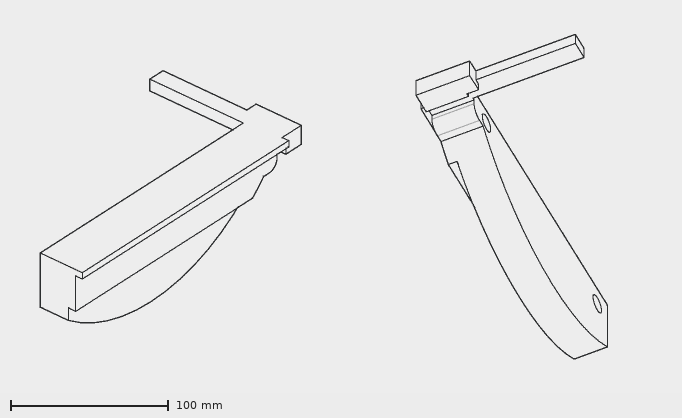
import cadquery as cq

total_length = 220.0
core_width = 29.7
lower_width = 23.5
lower_step_depth = 31.7
body_back = 196.5
body_height = 67.0

belly_radius = 137.5
belly_center_y = 80.3

nose_depth = 20.7
nose_radius = 8.0

lip_reach = 5.5
lip_thickness = 4.8
lip_length = 201.3

arm_reach = 78.0
arm_front = 198.0
arm_width = 13.0
arm_thickness = 9.0

hook_overhang = 8.1
hook_depth = 14.5
hook_front = 204.8
hook_overhang_front = 207.0

pin_diameter = 12.3
pin_depth = 22.0
pin_centers = [(178.2, -12.0), (15.2, -15.0)]


def block(x_range, y_range, depth):
    """Box hanging from the top face down to the given depth."""
    x_min, x_max = x_range
    y_min, y_max = y_range
    return cq.Workplane("XY").box(
        x_max - x_min, y_max - y_min, depth, centered=False
    ).translate((x_min, y_min, -depth))


def make_body():
    """Plate with the belly arc below, stepped narrower under the core."""
    disc_center_z = belly_radius - body_height
    belly = (
        cq.Workplane("YZ")
        .center(belly_center_y, disc_center_z)
        .circle(belly_radius)
        .extrude(core_width)
        .intersect(block((0, core_width), (0, body_back), body_height))
    )
    nose = block((0, core_width), (belly_center_y, body_back), nose_depth)
    nose = nose.edges("|X and >Y and <Z").fillet(nose_radius)
    step = block((lower_width, core_width), (0, body_back), body_height)
    step = step.translate((0, 0, -lower_step_depth))
    return belly.union(nose).cut(step)


def make_lip():
    return block((0, core_width + lip_reach), (0, lip_length), lip_thickness)


def make_arm():
    return block((-arm_reach, core_width), (arm_front, arm_front + arm_width), arm_thickness)


def make_hook():
    """Block at the back, tied to the body by a bridge as thick as the arm."""
    bridge = block((0, core_width), (body_back, total_length), arm_thickness)
    main = block((0, core_width), (hook_front, total_length), hook_depth)
    overhang = block((-hook_overhang, 0), (hook_overhang_front, total_length), hook_depth)
    return bridge.union(main).union(overhang)


def make_pins():
    return cq.Workplane("YZ").pushPoints(pin_centers).circle(pin_diameter / 2).extrude(pin_depth)


result = make_body().union(make_lip()).union(make_arm()).union(make_hook()).cut(make_pins())